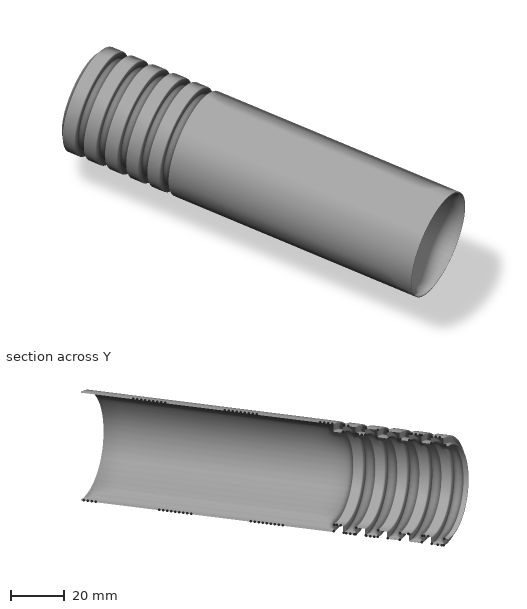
import cadquery as cq

length = 150.0
outer_diameter = 42.5
wall = 0.4

neck_outer_diameter = 36.8
ring_count = 5
ring_pitch = 9.0
ring_width = 5.5
crest_bend = 0.45
root_bend = 0.2

crest_radius = outer_diameter / 2
neck_radius = neck_outer_diameter / 2
neck_width = ring_pitch - ring_width
first_ring_start = neck_width / 2


def rise_to_crest(path, x, neck, crest, root_round, crest_round):
    """Extend the path from a neck up a flank at x, onto the crest."""
    path = path.lineTo(x - root_round, neck)
    path = path.tangentArcPoint((x, neck + root_round), relative=False)
    path = path.lineTo(x, crest - crest_round)
    return path.tangentArcPoint((x + crest_round, crest), relative=False)


def fall_to_neck(path, x, neck, crest, root_round, crest_round):
    """Extend the path from a crest down a flank at x, onto the neck."""
    path = path.lineTo(x - crest_round, crest)
    path = path.tangentArcPoint((x, crest - crest_round), relative=False)
    path = path.lineTo(x, neck + root_round)
    return path.tangentArcPoint((x + root_round, neck), relative=False)


def envelope(inset):
    """Solid of revolution under the outer surface, moved inwards by the inset.

    Bends stay concentric: a crest tightens by the inset and a root widens by it.
    """
    surface = {
        "neck": neck_radius - inset,
        "crest": crest_radius - inset,
        "root_round": root_bend + inset,
        "crest_round": crest_bend - inset,
    }
    path = cq.Workplane("XY").lineTo(0, surface["neck"])
    for index in range(ring_count):
        ring_start = first_ring_start + index * ring_pitch
        path = rise_to_crest(path, ring_start + inset, **surface)
        path = fall_to_neck(path, ring_start + ring_width - inset, **surface)
    plain_tube_start = first_ring_start + ring_count * ring_pitch
    path = rise_to_crest(path, plain_tube_start + inset, **surface)
    path = path.lineTo(length, surface["crest"]).lineTo(length, 0).close()
    return path.revolve(360, (0, 0, 0), (1, 0, 0))


result = envelope(0).cut(envelope(wall))